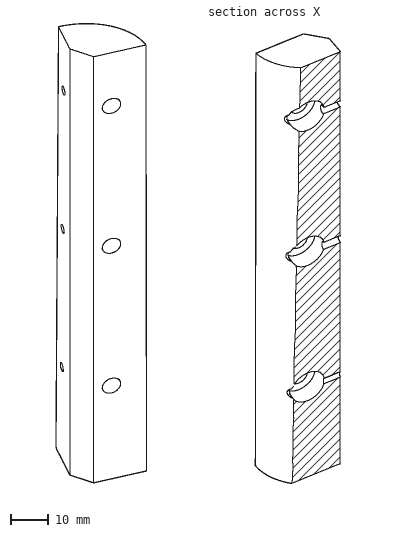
import cadquery as cq

length = 152.3
width = 16.6
depth = 20.0

corner_chamfer = 5.0
top_inset = 2.1

row_pitch = 50.0
screw_middle = 83.3
pin_middle = 83.0

screw_diameter = 5.2
screw_head_diameter = 10.0
screw_y = 10.0
screw_floor_x = -6.1

pin_diameter = 2.5
pin_exit_diameter = 4.0
pin_middle_x = -11.0
pin_step_y = depth / 2

lean = top_inset / length


def oval(z):
    """Full elliptical outline of the leaning rounded side at height z."""
    return cq.Workplane("XY", origin=(lean * z, 0, z)).ellipse(width, depth).val()


def bar():
    """Quarter of a leaning elliptical column, with the inner corner cut off."""
    column = cq.Workplane(cq.Solid.makeLoft([oval(0), oval(length)], True))
    flat_sides = (
        cq.Workplane("XY")
        .moveTo(-corner_chamfer, 0)
        .lineTo(-width, 0)
        .lineTo(-width, depth)
        .lineTo(0, depth)
        .lineTo(0, corner_chamfer)
        .close()
        .extrude(length)
    )
    return column.intersect(flat_sides)


def cylinder(diameter, start, direction, reach):
    return cq.Workplane(
        cq.Solid.makeCylinder(diameter / 2, reach, cq.Vector(*start), cq.Vector(*direction))
    )


def screw_hole(z):
    toward_round_side = (-1, 0, 0)
    shank = cylinder(screw_diameter, (0, screw_y, z), toward_round_side, width)
    head = cylinder(screw_head_diameter, (screw_floor_x, screw_y, z), toward_round_side, width)
    return shank.union(head)


def pin_hole(x, z):
    toward_back = (0, 1, 0)
    entry = cylinder(pin_diameter, (x, 0, z), toward_back, depth)
    exit_bore = cylinder(pin_exit_diameter, (x, pin_step_y, z), toward_back, depth)
    return entry.union(exit_bore)


result = bar()
for row in (-1, 0, 1):
    offset = row * row_pitch
    pin_x = pin_middle_x + lean * offset
    result = result.cut(screw_hole(screw_middle + offset))
    result = result.cut(pin_hole(pin_x, pin_middle + offset))